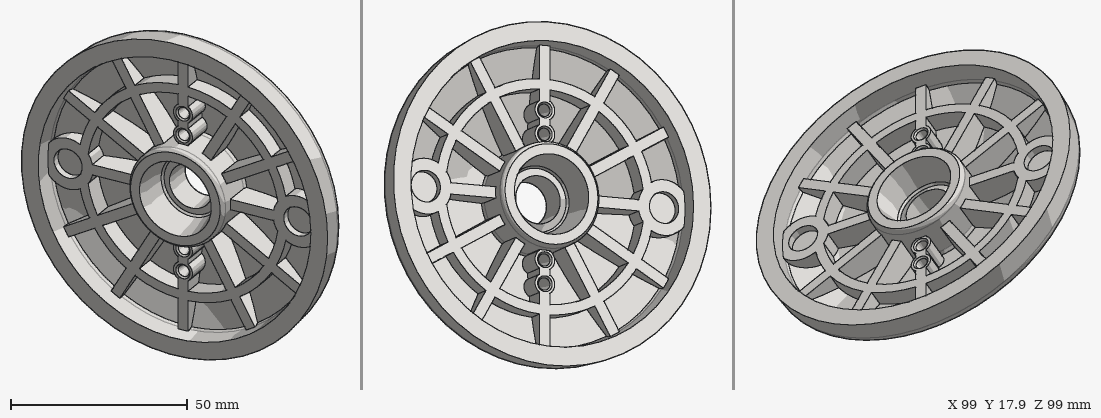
import cadquery as cq
import math

height = 17.9
rim_radius = 49.5
rim_inner_radius = 44.1

shoulder_radius = 49.1
shoulder_y = 6.5
shoulder_round = 3.5
dome_edge_radius = 46.8
dome_arc_radius = 94.05
crown_flat_radius = 8.2

shell_thickness = 3.9
wall_end_radius = 43.6
wall_end_y = 5.9
wall_foot_radius = 43.2

rib_face_y = 4.95
rib_width = 3.3
rib_count = 12
ring_outer_radius = 34.0
ring_inner_radius = 31.0

side_boss_x = 37.1
side_boss_radius = 8.0
side_recess_radius = 4.6
side_recess_depth = 2.4

screw_boss_distances = (18.1, 25.0)
screw_boss_radius = 3.1
screw_mouth_radius = 2.3
screw_hole_radius = 1.8
screw_tip_radius = 0.5
screw_chamfer_depth = 0.5
screw_hole_depth = 6.9

hub_face_y = 0.5
hub_radius = 15.3
hub_base_radius = 15.4
hub_round_width = 0.9
hub_round_length = 1.6
hub_flare_width = 0.4
hub_flare_length = 1.2

bore_mouth_radius = 11.6
bore_end_radius = 9.8
bore_end_y = 9.9
lip_base_radius = 9.2
lip_base_y = 10.6
lip_tip_radius = 6.9
lip_tip_y = 9.6
through_radius = 6.4

dome_center_y = height - dome_arc_radius
cavity_arc_radius = dome_arc_radius - shell_thickness
cavity_top_y = height - shell_thickness


def dome_y(arc_radius, radius):
    """Height of a dome arc at a distance from the axis."""
    return dome_center_y + math.sqrt(arc_radius**2 - (radius - crown_flat_radius) ** 2)


def revolve(outline):
    """Close a half outline and turn it about the Y axis."""
    return outline.close().revolve(360, (0, 0, 0), (0, 1, 0))


def cylinder(radius, start_y, end_y, x=0, z=0):
    """Cylinder along Y between two heights."""
    return cq.Workplane("XZ", origin=(x, start_y, z)).circle(radius).extrude(start_y - end_y)


def make_envelope():
    """Solid dome filling the whole outer shape."""
    mid_radius = (crown_flat_radius + dome_edge_radius) / 2
    return revolve(
        cq.Workplane("XY")
        .lineTo(rim_radius, 0)
        .lineTo(shoulder_radius, shoulder_y)
        .radiusArc((dome_edge_radius, dome_y(dome_arc_radius, dome_edge_radius)), -shoulder_round)
        .threePointArc((mid_radius, dome_y(dome_arc_radius, mid_radius)), (crown_flat_radius, height))
        .lineTo(0, height)
    )


def make_cavity():
    """Hollow of the plain shell."""
    mid_radius = (crown_flat_radius + wall_foot_radius) / 2
    return revolve(
        cq.Workplane("XY")
        .lineTo(rim_inner_radius, 0)
        .lineTo(wall_end_radius, wall_end_y)
        .lineTo(wall_foot_radius, dome_y(cavity_arc_radius, wall_foot_radius))
        .threePointArc(
            (mid_radius, dome_y(cavity_arc_radius, mid_radius)),
            (crown_flat_radius, cavity_top_y),
        )
        .lineTo(0, cavity_top_y)
    )


def make_ribs():
    """Ring and spokes; each bar spans the full diameter and makes two spokes."""
    ring_core = cylinder(ring_inner_radius, rib_face_y, height)
    ribs = cylinder(ring_outer_radius, rib_face_y, height).cut(ring_core)
    bar = (
        cq.Workplane("XY")
        .box(2 * rim_inner_radius, height - rib_face_y, rib_width)
        .translate((0, (height + rib_face_y) / 2, 0))
    )
    for i in range(rib_count // 2):
        ribs = ribs.union(bar.rotate((0, 0, 0), (0, 1, 0), i * 360 / rib_count))
    return ribs


def make_hub():
    """Solid central hub reaching up into the crown."""
    round_radius = (hub_round_width**2 + hub_round_length**2) / (2 * hub_round_width)
    root_radius = hub_base_radius + hub_flare_width
    root_y = dome_y(cavity_arc_radius, hub_base_radius)
    return revolve(
        cq.Workplane("XY")
        .moveTo(0, hub_face_y)
        .lineTo(hub_radius - hub_round_width, hub_face_y)
        .radiusArc((hub_radius, hub_face_y + hub_round_length), -round_radius)
        .lineTo(hub_base_radius, root_y - hub_flare_length)
        .lineTo(root_radius, root_y)
        .lineTo(root_radius, height)
        .lineTo(0, height)
    )


def make_bore():
    """Cutter for the stepped opening through the hub and crown."""
    return revolve(
        cq.Workplane("XY")
        .lineTo(bore_mouth_radius, 0)
        .lineTo(bore_mouth_radius, hub_face_y)
        .lineTo(bore_end_radius, bore_end_y)
        .lineTo(lip_base_radius, lip_base_y)
        .lineTo(lip_tip_radius, lip_tip_y)
        .lineTo(through_radius, height)
        .lineTo(0, height)
    )


def make_screw_hole(z):
    """Cutter for one chamfered, tapered blind hole."""
    return revolve(
        cq.Workplane("XY")
        .lineTo(screw_mouth_radius, 0)
        .lineTo(screw_hole_radius, screw_chamfer_depth)
        .lineTo(screw_tip_radius, screw_hole_depth)
        .lineTo(0, screw_hole_depth)
    ).translate((0, rib_face_y, z))


side_boss_places = [side * side_boss_x for side in (-1, 1)]
screw_boss_places = [side * distance for side in (-1, 1) for distance in screw_boss_distances]

inside = make_ribs().union(make_hub())
for x in side_boss_places:
    inside = inside.union(cylinder(side_boss_radius, rib_face_y, height, x=x))
for z in screw_boss_places:
    inside = inside.union(cylinder(screw_boss_radius, rib_face_y, height, z=z))

envelope = make_envelope()
result = envelope.cut(make_cavity()).union(inside.intersect(envelope)).cut(make_bore())

side_recess_floor_y = rib_face_y + side_recess_depth
for x in side_boss_places:
    result = result.cut(cylinder(side_recess_radius, rib_face_y, side_recess_floor_y, x=x))
for z in screw_boss_places:
    result = result.cut(make_screw_hole(z))